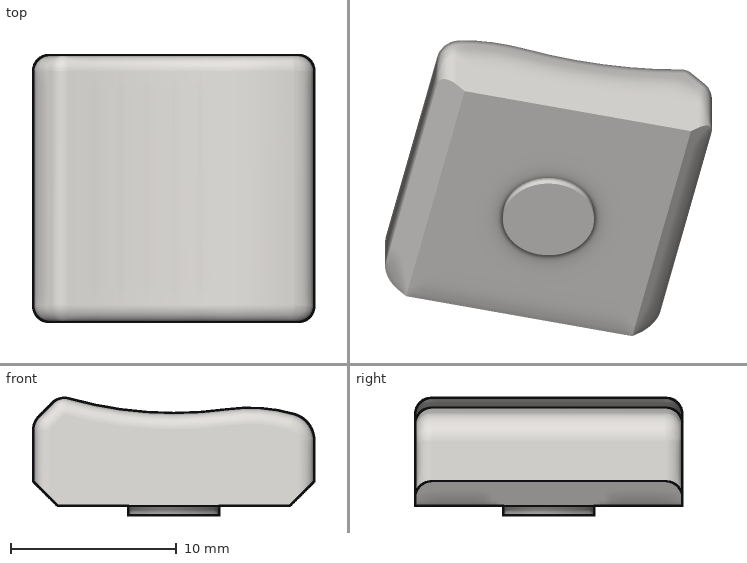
import cadquery as cq
import math

length = 17.0
width = 16.15
left = -length / 2
right = length / 2

dish_radius = 23.29
dish_low_x = 0.0
dish_low_z = 5.63
crest_radius = 9.69
crest_start_x = 3.23

left_bevel_start_z = 5.07
edge_radius = 1.0
left_bevel_radius = 1.19
right_top_radius = 1.7
bottom_chamfer = 1.5

stem_diameter = 5.5
stem_height = 0.56

dish_center_z = dish_low_z + dish_radius
joint_angle = math.asin((crest_start_x - dish_low_x) / dish_radius)
center_distance = dish_radius + crest_radius
crest_center_x = dish_low_x + center_distance * math.sin(joint_angle)
crest_center_z = dish_center_z - center_distance * math.cos(joint_angle)


def dish_point(x):
    """Point of the concave arc at x."""
    return x, dish_center_z - math.sqrt(dish_radius**2 - (x - dish_low_x) ** 2)


def crest_point(x):
    """Point of the convex arc at x."""
    return x, crest_center_z + math.sqrt(crest_radius**2 - (x - crest_center_x) ** 2)


def bevel_top_x():
    """X where the 45 degree left bevel, z = x + offset, meets the dish arc."""
    offset = left_bevel_start_z - left
    center_rise = dish_center_z - offset
    middle = (dish_low_x + center_rise) / 2
    half_gap = (dish_low_x - center_rise) / 2
    return middle - math.sqrt(dish_radius**2 / 2 - half_gap**2)


def make_cap():
    dish_start_x = bevel_top_x()
    blank = (
        cq.Workplane("XZ")
        .moveTo(left, 0)
        .lineTo(left, left_bevel_start_z)
        .lineTo(*dish_point(dish_start_x))
        .threePointArc(dish_point((dish_start_x + crest_start_x) / 2), dish_point(crest_start_x))
        .threePointArc(crest_point((crest_start_x + right) / 2), crest_point(right))
        .lineTo(right, 0)
        .close()
        .extrude(width / 2, both=True)
    )
    blank = blank.faces(">X").edges(">Z").fillet(right_top_radius)
    blank = blank.faces("<X").edges(">Z").fillet(left_bevel_radius)

    side_rims = blank.faces("<Y or >Y").edges("not <Z")
    dish_x, dish_z = dish_point(dish_start_x)
    bevel_top = blank.edges(cq.selectors.NearestToPointSelector((dish_x, 0, dish_z)))
    rounded = side_rims.add(bevel_top).fillet(edge_radius)

    for side in (left, right):
        inward = -math.copysign(bottom_chamfer, side)
        wedge = (
            cq.Workplane("XZ")
            .polyline([(side, 0), (side + inward, 0), (side, bottom_chamfer)])
            .close()
            .extrude(width / 2, both=True)
        )
        rounded = rounded.cut(wedge)
    return rounded


def make_stem():
    return cq.Workplane("XY").circle(stem_diameter / 2).extrude(-stem_height)


cap = make_cap()
stem = make_stem()
result = cq.Compound.makeCompound([cap.val(), stem.val()])